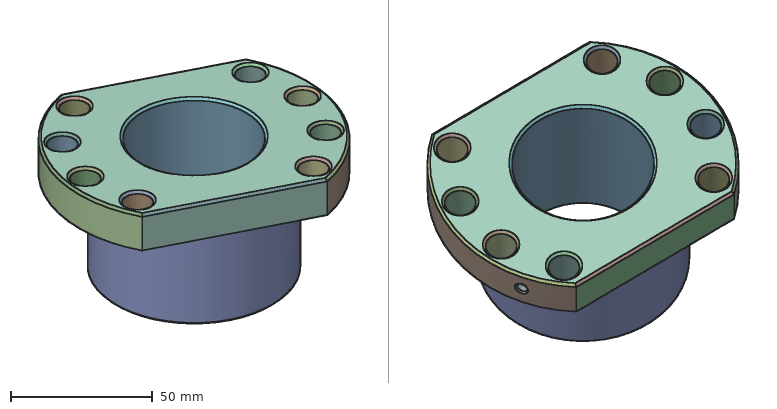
import cadquery as cq

flange_diameter = 109.6
flange_width = 85.0
flange_thickness = 15.0

total_height = 55.0
barrel_diameter = 75.0
bore_diameter = 50.0

bolt_hole_diameter = 11.0
bolt_circle_radius = 46.5
bolt_angles = (45, 75, 105, 135)

oil_port_angle = 120
oil_port_drop = flange_thickness / 2
oil_port_depth = 10.0
oil_port_diameter = 4.0
oil_port_mouth_diameter = 5.2

edge_chamfer = 1.0


def make_flange():
    disc = cq.Workplane("XY").circle(flange_diameter / 2).extrude(-flange_thickness)
    flats = cq.Workplane("XY").rect(flange_width, flange_diameter).extrude(-flange_thickness)
    return disc.intersect(flats).faces(">Z").chamfer(edge_chamfer)


def make_barrel():
    barrel = cq.Workplane("XY").circle(barrel_diameter / 2).extrude(-total_height)
    return barrel.faces("<Z").chamfer(edge_chamfer)


def hole_cutter(diameter, depth, chamfer):
    """Flat-ended hole going down from Z = 0, with a 45 degree chamfer at its mouth."""
    radius = diameter / 2
    profile = [
        (0, 0),
        (radius + chamfer, 0),
        (radius, -chamfer),
        (radius, -depth),
        (0, -depth),
    ]
    return cq.Workplane("XZ").polyline(profile).close().revolve(360, (0, 0), (0, 1))


def turned(shape, angle):
    """Shape turned about the part axis."""
    return shape.rotate((0, 0, 0), (0, 0, 1), angle)


def make_oil_port_cutter():
    chamfer = (oil_port_mouth_diameter - oil_port_diameter) / 2
    port = hole_cutter(oil_port_diameter, oil_port_depth, chamfer)
    port = port.rotate((0, 0, 0), (0, 1, 0), 90)
    port = port.translate((flange_diameter / 2, 0, -oil_port_drop))
    return turned(port, oil_port_angle)


result = make_flange().union(make_barrel())
result = result.cut(hole_cutter(bore_diameter, total_height, edge_chamfer))

bolt_cutter = hole_cutter(bolt_hole_diameter, flange_thickness, edge_chamfer)
bolt_cutter = bolt_cutter.translate((bolt_circle_radius, 0, 0))
for end_angle in (0, 180):
    for bolt_angle in bolt_angles:
        result = result.cut(turned(bolt_cutter, end_angle + bolt_angle))

result = result.cut(make_oil_port_cutter())